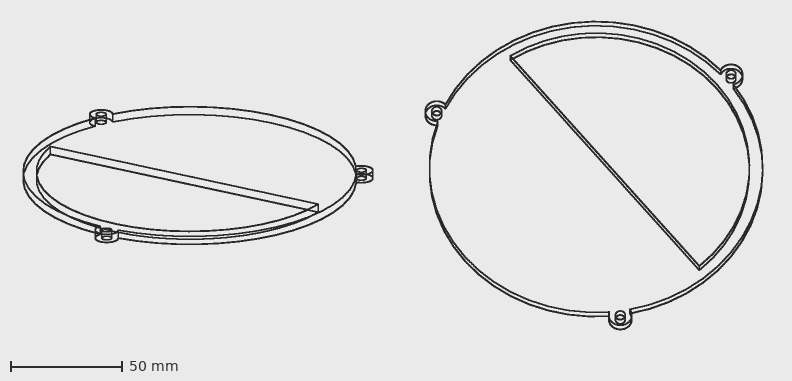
import cadquery as cq
import math

thickness = 4.0
disc_diameter = 150.0
overall_length = 157.4
rim_width = 6.0
window_edge_y = -5.0
lug_radius = 5.2
lug_hole_diameter = 4.4
lug_angles = (30, 150, 270)

disc_radius = disc_diameter / 2

lug_circle_radius = overall_length - disc_radius - lug_radius
lug_centres = [
    (
        lug_circle_radius * math.cos(math.radians(angle)),
        lug_circle_radius * math.sin(math.radians(angle)),
    )
    for angle in lug_angles
]

window_radius = disc_radius - rim_width
window_half_width = math.sqrt(window_radius**2 - window_edge_y**2)
window = (
    cq.Workplane("XY")
    .moveTo(-window_half_width, window_edge_y)
    .threePointArc((0, -window_radius), (window_half_width, window_edge_y))
    .close()
    .extrude(thickness)
)

disc = cq.Workplane("XY").circle(disc_radius).extrude(thickness)
lugs = cq.Workplane("XY").pushPoints(lug_centres).circle(lug_radius).extrude(thickness)
lug_holes = (
    cq.Workplane("XY")
    .pushPoints(lug_centres)
    .circle(lug_hole_diameter / 2)
    .extrude(thickness)
)

result = disc.union(lugs).cut(window).cut(lug_holes)